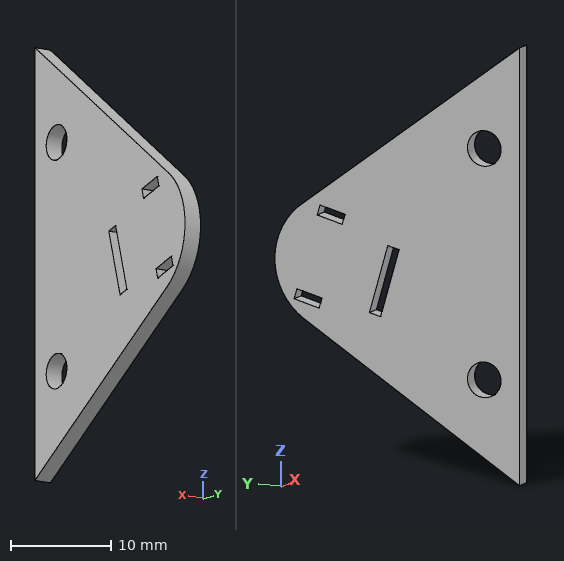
import cadquery as cq

thickness = 1.9
base_length = 44.3
plate_depth = 26.35
nose_start_y = 23.22
nose_width = 11.8
nose_center_z = -0.95
nose_top = (nose_start_y, nose_center_z + nose_width / 2)
nose_bottom = (nose_start_y, nose_center_z - nose_width / 2)

hole_diameter = 3.6
hole_y = 3.8
hole_spacing = 23.4

slot_tilt = 16.0
small_slot_size = (2.8, 1.05)
small_slot_centers = [(20.3, 3.9), (22.8, -4.75)]
long_slot_size = (1.25, 7.2)
long_slot_center = (14.6, -2.45)


def through_slot(center, size):
    """Solid that cuts one tilted rectangular slot through the plate."""
    return (
        cq.Workplane("YZ", origin=(-thickness / 2, 0, 0))
        .center(*center)
        .transformed(rotate=(0, 0, slot_tilt))
        .rect(*size)
        .extrude(thickness)
    )


plate = (
    cq.Workplane("YZ", origin=(-thickness / 2, 0, 0))
    .moveTo(0, -base_length / 2)
    .lineTo(*nose_bottom)
    .threePointArc((plate_depth, nose_center_z), nose_top)
    .lineTo(0, base_length / 2)
    .close()
    .extrude(thickness)
)

holes = (
    cq.Workplane("YZ", origin=(-thickness / 2, 0, 0))
    .pushPoints([(hole_y, -hole_spacing / 2), (hole_y, hole_spacing / 2)])
    .circle(hole_diameter / 2)
    .extrude(thickness)
)
plate = plate.cut(holes)

for slot_center in small_slot_centers:
    plate = plate.cut(through_slot(slot_center, small_slot_size))
plate = plate.cut(through_slot(long_slot_center, long_slot_size))

result = plate